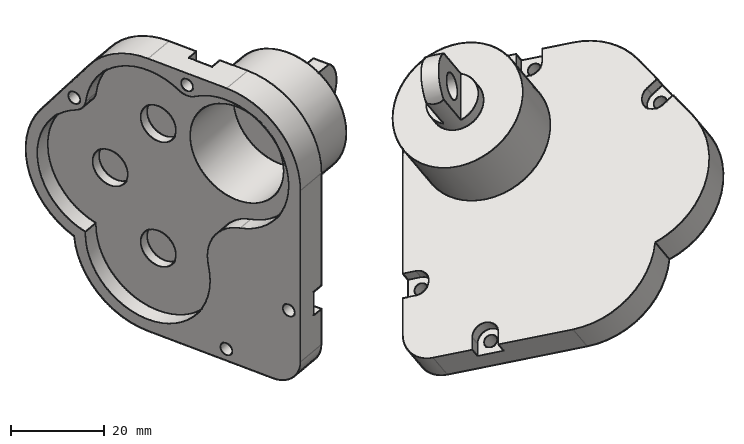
import cadquery as cq
import math

plate_thickness = 8.05
pocket_depth = 4.0
outer_radius = 38.0 / 2
pocket_radius = 32.0 / 2
corner_radius = 7.0

motor_spacing = 20.2
idler_offset = 12.35
row_height = 16.0
UPPER = (0, 0)
MOTOR = (motor_spacing, 0)
IDLER = (-idler_offset, -row_height)
LOWER = (0, -2 * row_height)

screw_blend = 4.0
waist_blend = 10.6

recess_diameter = 9.0
recess_depth = 2.5

screw_diameter = 3.0
head_width = 6.0
head_depth = 2.95

housing_diameter = 30.0
housing_length = 15.45
housing_end_wall = 2.95
bore_diameter = 24.0
stem_diameter = 12.0
stem_length = 15.5
collar_length = 3.0
lug_thickness = 4.0
lug_end_radius = 7.0
lug_hole_setback = 7.5
lug_hole_diameter = 6.0

housing_end = plate_thickness + housing_length
collar_end = housing_end + collar_length
stem_end = housing_end + stem_length
lug_round_y = stem_end - lug_end_radius
lug_hole_y = stem_end - lug_hole_setback


def section_plane(y):
    """XZ plane at depth y; extruding a negative distance goes toward +Y."""
    return cq.Workplane("XZ", origin=(0, y, 0))


def cylinder(centre, diameter, y_start, y_end):
    return section_plane(y_start).center(*centre).circle(diameter / 2).extrude(y_start - y_end)


def toward(start, target, distance):
    """Point at the given distance from start on the way to target."""
    scale = distance / math.dist(start, target)
    return (start[0] + (target[0] - start[0]) * scale, start[1] + (target[1] - start[1]) * scale)


def polar(centre, radius, angle):
    return (centre[0] + radius * math.cos(angle), centre[1] + radius * math.sin(angle))


def left_apex(a, b, radius):
    """Point at equal distance radius from a and b, left of the direction a to b."""
    half = math.dist(a, b) / 2
    heading = math.atan2(b[1] - a[1], b[0] - a[0])
    return polar(a, radius, heading + math.acos(half / radius))


def polygon(points):
    return section_plane(0).polyline(points).close().extrude(-plate_thickness)


def make_plate():
    right = motor_spacing + outer_radius
    bottom = LOWER[1] - outer_radius
    wall_angle = math.atan2(row_height, idler_offset) + math.pi / 2
    plate = polygon([
        UPPER, (0, outer_radius), (motor_spacing, outer_radius), MOTOR,
        (right, 0), (right, bottom), (0, bottom), LOWER,
    ])
    corner = cq.selectors.NearestToPointSelector((right, plate_thickness / 2, bottom))
    plate = plate.edges("|Y").edges(corner).fillet(corner_radius)
    plate = plate.union(polygon([
        UPPER, polar(UPPER, outer_radius, wall_angle), polar(IDLER, outer_radius, wall_angle),
        IDLER, LOWER,
    ]))
    for centre in (UPPER, MOTOR, IDLER, LOWER):
        plate = plate.union(cylinder(centre, 2 * outer_radius, 0, plate_thickness))
    return plate


def make_pocket():
    """Four overlapping discs, with three of the cusps between them blended."""
    pocket = polygon([UPPER, MOTOR, LOWER, IDLER])
    for centre in (UPPER, MOTOR, IDLER, LOWER):
        pocket = pocket.union(cylinder(centre, 2 * pocket_radius, 0, plate_thickness))
    blends = [
        (UPPER, MOTOR, screw_blend),
        (IDLER, UPPER, screw_blend),
        (MOTOR, LOWER, waist_blend),
    ]
    for a, b, radius in blends:
        apex = left_apex(a, b, pocket_radius + radius)
        web = polygon([a, toward(a, apex, pocket_radius), apex, toward(b, apex, pocket_radius), b])
        pocket = pocket.union(web.cut(cylinder(apex, 2 * radius, 0, plate_thickness)))
    rear = cylinder(UPPER, 8 * outer_radius, pocket_depth, plate_thickness)
    return pocket.cut(rear)


def make_screw_cutter(centre, outward_angle):
    """Through hole plus a U-shaped head slot running out through the plate edge."""
    slot_start = plate_thickness - head_depth
    head = cylinder(centre, head_width, slot_start, plate_thickness)
    exit_slot = (
        section_plane(slot_start)
        .center(*polar(centre, head_width / 2, outward_angle))
        .transformed(rotate=(0, 0, math.degrees(outward_angle)))
        .rect(head_width, head_width)
        .extrude(-head_depth)
    )
    return cylinder(centre, screw_diameter, 0, plate_thickness).union(head).union(exit_slot)


def screw_places():
    """Screw centres with the direction from each to the nearest plate edge."""
    slant = math.atan2(row_height, idler_offset) + math.pi / 2
    slant_middle = (-idler_offset / 2, -row_height / 2)
    return [
        ((motor_spacing / 2, pocket_radius), math.pi / 2),
        (polar(slant_middle, pocket_radius, slant), slant),
        ((motor_spacing + pocket_radius, LOWER[1]), 0),
        ((motor_spacing, LOWER[1] - pocket_radius), -math.pi / 2),
    ]


def make_lug():
    """Flat lug milled from the stem, with a rounded end and a cross hole."""
    stem = cylinder(MOTOR, stem_diameter, collar_end, stem_end)
    blank = cq.Workplane("YZ", origin=(motor_spacing - lug_thickness / 2, 0, 0))
    straight = blank.center((collar_end + lug_round_y) / 2, 0).rect(
        lug_round_y - collar_end, stem_diameter
    ).extrude(lug_thickness)
    rounded = blank.center(lug_round_y, 0).circle(lug_end_radius).extrude(lug_thickness)
    hole = blank.center(lug_hole_y, 0).circle(lug_hole_diameter / 2).extrude(lug_thickness)
    return stem.intersect(straight.union(rounded)).cut(hole)


bore_end = housing_end - housing_end_wall

result = make_plate().union(cylinder(MOTOR, housing_diameter, plate_thickness, housing_end))
result = result.cut(make_pocket())
result = result.cut(cylinder(MOTOR, bore_diameter, 0, bore_end))
result = result.cut(cylinder(MOTOR, recess_diameter, bore_end, bore_end + recess_depth))
for shaft in (UPPER, IDLER, LOWER):
    result = result.cut(cylinder(shaft, recess_diameter, pocket_depth, pocket_depth + recess_depth))
for screw_centre, edge_direction in screw_places():
    result = result.cut(make_screw_cutter(screw_centre, edge_direction))
result = result.union(cylinder(MOTOR, stem_diameter, housing_end, collar_end))
result = result.union(make_lug())